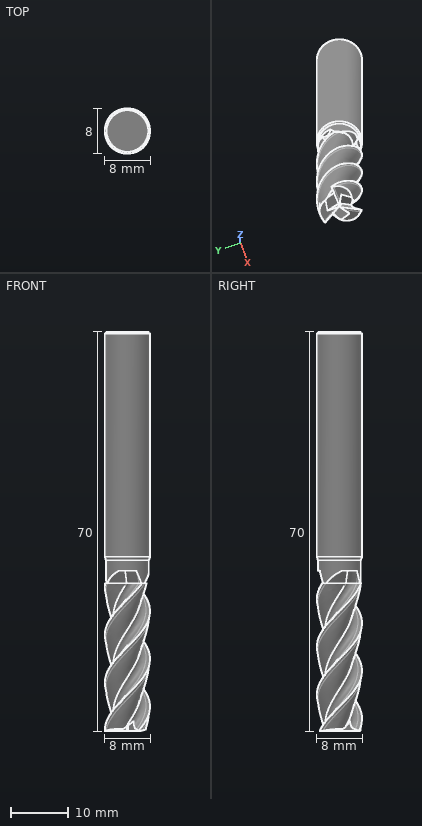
import cadquery as cq
import math

length = 70.0
diameter = 8.0
radius = diameter / 2
shank_chamfer = 0.35

neck_radius = 3.8
cutter_length = 26.0
neck_end = 29.95
neck_cone_length = 0.6

flute_count = 3
flute_pitch_angle = 360 / flute_count
helix_lead = math.pi * diameter
twist_angle = 360 * cutter_length / helix_lead
first_tooth_angle = 58.0

land_angle = 10.0
heel_radius = 3.85
back_mid_angle = 42.0
back_mid_radius = 3.35
back_end_angle = 76.0
back_end_radius = 2.5
flute_bottom_angle = 99.0
core_radius = 2.2
rake_radius = 3.2
rake_lag_angle = 4.0

runout_height = 2.2
runout_shift = 1.05
runout_back_radius = 2.95

relief_land = 0.4
relief_angle = 10.0
gash_height = 1.75
gash_angle = 35.0
gash_setback = 0.1
tool_size = 2 * diameter


def polar(r, angle):
    """Point at a radius and an angle in degrees."""
    a = math.radians(angle)
    return (r * math.cos(a), r * math.sin(a))


def draw_gap(outline, start, mid_radius):
    """Continue an outline from a tooth heel along the back and the flute to the next rake face."""
    next_corner = start + flute_pitch_angle
    return outline.threePointArc(
        polar(mid_radius, start + back_mid_angle),
        polar(back_end_radius, start + back_end_angle),
    ).threePointArc(
        polar(core_radius, start + flute_bottom_angle),
        polar(rake_radius, next_corner - rake_lag_angle),
    ).lineTo(*polar(radius, next_corner))


def tooth_section():
    """Closed cross-section of the fluted cutter."""
    outline = cq.Workplane("XY").moveTo(*polar(radius, first_tooth_angle))
    for i in range(flute_count):
        corner = first_tooth_angle + i * flute_pitch_angle
        outline = outline.lineTo(*polar(heel_radius, corner + land_angle))
        outline = draw_gap(outline, corner, back_mid_radius)
    return outline.close()


def end_relief(angle):
    """Wedge that slopes the end face away behind one end cutting edge."""
    rise = tool_size * math.tan(math.radians(relief_angle))
    wedge = (
        cq.Workplane("YZ")
        .polyline([(relief_land, 0), (tool_size, 0), (tool_size, rise)])
        .close()
        .extrude(tool_size)
    )
    return wedge.rotate((0, 0, 0), (0, 0, 1), angle)


def end_gash(angle):
    """V-shaped gash in front of one end cutting edge."""
    reach = gash_height / math.tan(math.radians(gash_angle))
    gash = (
        cq.Workplane("YZ")
        .polyline([(gash_setback, 0), (gash_setback, gash_height), (gash_setback - reach, 0)])
        .close()
        .extrude(tool_size)
    )
    return gash.rotate((0, 0, 0), (0, 0, 1), angle)


def make_cutter():
    """Twisted cutter with reliefs and gashes on its end teeth."""
    cutter = tooth_section().twistExtrude(cutter_length, twist_angle)
    for i in range(flute_count):
        angle = first_tooth_angle + i * flute_pitch_angle
        cutter = cutter.cut(end_relief(angle)).cut(end_gash(angle))
    return cutter


def flute_runout(corner):
    """Slanted continuation of one flute that leaves the neck through its side."""
    heel = corner + land_angle
    middle = corner + (flute_pitch_angle + land_angle) / 2
    outline = cq.Workplane("XY").moveTo(*polar(heel_radius, heel))
    outline = draw_gap(outline, corner, runout_back_radius)
    outline = outline.lineTo(*polar(tool_size, corner + flute_pitch_angle))
    outline = outline.lineTo(*polar(tool_size, heel)).close()
    wire = outline.val().translate(cq.Vector(0, 0, cutter_length))
    shift = polar(runout_shift, middle)
    return cq.Solid.extrudeLinear(wire, [], cq.Vector(*shift, runout_height))


def make_shank():
    """Round shank with a chamfered top and a reduced neck holding the flute run-outs."""
    profile = [
        (0, cutter_length),
        (neck_radius, cutter_length),
        (neck_radius, neck_end),
        (radius, neck_end + neck_cone_length),
        (radius, length - shank_chamfer),
        (radius - shank_chamfer, length),
        (0, length),
    ]
    shank = cq.Workplane("XZ").polyline(profile).close().revolve(360, (0, 0), (0, 1))
    for i in range(flute_count):
        corner = first_tooth_angle + twist_angle + i * flute_pitch_angle
        shank = shank.cut(cq.Workplane(flute_runout(corner)))
    return shank


cutter = make_cutter()
shank = make_shank()
result = cq.Compound.makeCompound([cutter.solids().val(), shank.solids().val()])